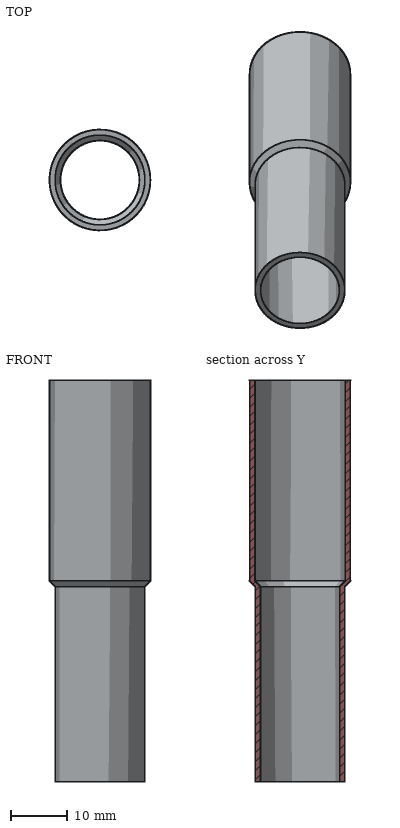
import cadquery as cq

total_length = 71.5
socket_outer_diameter = 18.0
spigot_outer_diameter = 16.0
wall = 1.0

socket_outer_radius = socket_outer_diameter / 2
spigot_outer_radius = spigot_outer_diameter / 2
socket_inner_radius = socket_outer_radius - wall
spigot_inner_radius = spigot_outer_radius - wall

taper_height = socket_outer_radius - spigot_outer_radius
taper_top = total_length / 2
taper_bottom = taper_top - taper_height


def stepped_solid(lower_radius, upper_radius):
    """Solid of revolution about Z that widens from lower to upper radius at the taper."""
    half_section = (
        cq.Workplane("XZ")
        .moveTo(0, 0)
        .lineTo(lower_radius, 0)
        .lineTo(lower_radius, taper_bottom)
        .lineTo(upper_radius, taper_top)
        .lineTo(upper_radius, total_length)
        .lineTo(0, total_length)
        .close()
    )
    return half_section.revolve(360, (0, 0, 0), (0, 1, 0))


outer_body = stepped_solid(spigot_outer_radius, socket_outer_radius)
bore = stepped_solid(spigot_inner_radius, socket_inner_radius)

result = outer_body.cut(bore)